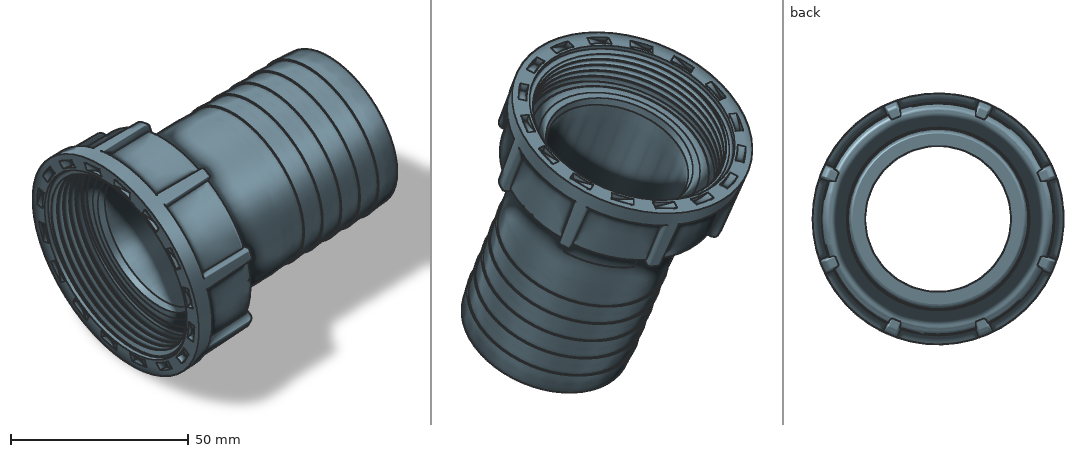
import cadquery as cq
import math

TOTAL_LENGTH = 84.5
OVERLAP = 0.25

RIM_RADIUS = 70.9 / 2
RIM_HEIGHT = 5.0
NUT_LENGTH = 23.1
CORE_BASE_RADIUS = 32.9
CORE_END_RADIUS = 32.45
SHOULDER_FILLET = 1.8
RIB_COUNT = 8
RIB_END_RADIUS = 35.0
RIB_BASE_WIDTH = 4.3
RIB_END_WIDTH = 3.4
RIB_EDGE_FILLET = 0.5
RIB_ROOT_RADIUS = 30.85

MOUTH_RADIUS = 30.25
MOUTH_DEPTH = 1.35
THREAD_MINOR_RADIUS = 56.6 / 2
THREAD_MAJOR_RADIUS = 29.75
THREAD_PITCH = 2.3
THREAD_FLANK_ANGLE = 27.5
THREAD_ROOT_FLAT = 0.3
THREAD_START_ANGLE = -95.0
NUT_HOLE_RADIUS = 51.6 / 2
BACK_WALL = 4.6

RATCHET_COUNT = 16
RATCHET_INNER_RADIUS = 31.1
RATCHET_OUTER_RADIUS = 33.5
RATCHET_LENGTH = 6.6
RATCHET_DEPTH = 2.0
RATCHET_END_SLOPE = 0.6
RATCHET_OFFSET = 0.5

FLANGE_FACE = 12.4
FLANGE_RADIUS = 56.1 / 2
TAIL_RADIUS = 50.6 / 2
TAIL_END_RADIUS = 49.5 / 2
BARB_RADIUS = 25.4
BARB_ROOT_RADIUS = 24.9
BARB_COUNT = 5
BARB_PITCH = 7.0
FIRST_BARB = 48.5
PLAIN_END = 40.5
TAIL_END_FILLET = 0.72
BORE_MOUTH_RADIUS = 43.35 / 2
BORE_RADIUS = 20.95
BORE_END_RADIUS = 20.5
BORE_MOUTH_DEPTH = 2.0

PAD_LENGTH = 8.3
PAD_WIDTH = 20.95
PAD_CENTRE = 28.4
PAD_HEIGHT = 0.1
PAD_CORNER = 0.7

SEAL_INNER_RADIUS = 47.6 / 2
SEAL_OUTER_RADIUS = 52.9 / 2
SEAL_THICKNESS = 2.0
SEAL_FILLET = 0.5


def turned(points):
    """Revolve an outline of (radius, y) points about the Y axis."""
    return cq.Workplane("XY").polyline(points).close().revolve(360, (0, 0), (0, 1))


def ring(inner, outer, start, end):
    """Plain ring, or a disc when the inner radius is zero, between two y positions."""
    return turned([(inner, start), (outer, start), (outer, end), (inner, end)])


def cone_radius(y):
    """Radius of the slightly tapered cone that bounds the rim and the ribs."""
    return RIM_RADIUS + (RIB_END_RADIUS - RIM_RADIUS) * y / NUT_LENGTH


def nut_ribs():
    """Tapered grip ribs, cut out of a conical ring that leans in from the rim."""
    collar = turned(
        [
            (RIB_ROOT_RADIUS, RIM_HEIGHT),
            (cone_radius(RIM_HEIGHT), RIM_HEIGHT),
            (RIB_END_RADIUS, NUT_LENGTH),
            (RIB_ROOT_RADIUS, NUT_LENGTH),
        ]
    )
    half_base = RIB_BASE_WIDTH / 2
    half_end = RIB_END_WIDTH / 2
    wedge = (
        cq.Workplane("YZ")
        .polyline(
            [
                (RIM_HEIGHT, -half_base),
                (NUT_LENGTH, -half_end),
                (NUT_LENGTH, half_end),
                (RIM_HEIGHT, half_base),
            ]
        )
        .close()
        .extrude(RIM_RADIUS + OVERLAP)
    )
    rib = collar.intersect(wedge)
    outer_back_edge = cq.selectors.NearestToPointSelector((RIB_END_RADIUS, NUT_LENGTH, 0))
    rib = rib.edges(outer_back_edge).fillet(SHOULDER_FILLET)
    middle = (RIM_HEIGHT + NUT_LENGTH) / 2
    for side in (-1, 1):
        outer_side_edge = cq.selectors.NearestToPointSelector((RIM_RADIUS, middle, side * half_base))
        rib = rib.edges(outer_side_edge).fillet(RIB_EDGE_FILLET)
    step = 360 / RIB_COUNT
    return [rib.rotate((0, 0, 0), (0, 1, 0), (i + 0.5) * step) for i in range(RIB_COUNT)]


def thread_groove():
    """Right-hand helical groove, running from the mouth recess to the flange face."""
    start = MOUTH_DEPTH - THREAD_PITCH / 2
    inner = THREAD_MINOR_RADIUS - OVERLAP
    half_root = THREAD_ROOT_FLAT / 2
    half_top = half_root + (THREAD_MAJOR_RADIUS - inner) * math.tan(math.radians(THREAD_FLANK_ANGLE))
    helix = cq.Wire.makeHelix(THREAD_PITCH, FLANGE_FACE - start, inner)
    groove = (
        cq.Workplane("XZ")
        .polyline(
            [
                (inner, -half_top),
                (THREAD_MAJOR_RADIUS, -half_root),
                (THREAD_MAJOR_RADIUS, half_root),
                (inner, half_top),
            ]
        )
        .close()
        .sweep(cq.Workplane(helix), isFrenet=True)
    )
    groove = groove.rotate((0, 0, 0), (0, 0, 1), THREAD_START_ANGLE)
    return groove.rotate((0, 0, 0), (1, 0, 0), -90).translate((0, start, 0))


def ratchet_recesses():
    """Ramped recesses that deepen clockwise and end in a steep wall."""
    ramp = (
        cq.Workplane("XY")
        .polyline(
            [
                (-RATCHET_OFFSET, 0),
                (RATCHET_LENGTH - RATCHET_OFFSET, 0),
                (RATCHET_LENGTH - RATCHET_OFFSET - RATCHET_END_SLOPE, RATCHET_DEPTH),
            ]
        )
        .close()
        .extrude(RIM_RADIUS)
    )
    band = ring(RATCHET_INNER_RADIUS, RATCHET_OUTER_RADIUS, 0, RATCHET_DEPTH)
    recess = ramp.intersect(band)
    step = 360 / RATCHET_COUNT
    return [recess.rotate((0, 0, 0), (0, 1, 0), i * step) for i in range(RATCHET_COUNT)]


def nut_blank():
    """Nut with its ribs and stepped bore, without ratchet recesses and thread."""
    core = turned(
        [
            (NUT_HOLE_RADIUS, RIM_HEIGHT),
            (CORE_BASE_RADIUS, RIM_HEIGHT),
            (CORE_END_RADIUS, NUT_LENGTH),
            (NUT_HOLE_RADIUS, NUT_LENGTH),
        ]
    )
    core = core.faces(">Y").edges(cq.selectors.RadiusNthSelector(-1)).fillet(SHOULDER_FILLET)
    rim = turned(
        [
            (NUT_HOLE_RADIUS, 0),
            (RIM_RADIUS, 0),
            (cone_radius(RIM_HEIGHT), RIM_HEIGHT),
            (NUT_HOLE_RADIUS, RIM_HEIGHT),
        ]
    )
    ribs = cq.Compound.makeCompound([rib.val() for rib in nut_ribs()])
    cavity = ring(0, THREAD_MINOR_RADIUS, 0, NUT_LENGTH - BACK_WALL)
    mouth = ring(0, MOUTH_RADIUS, 0, MOUTH_DEPTH)
    return core.union(rim).cut(cavity).cut(mouth).union(cq.Workplane(ribs))


def make_nut():
    recesses = cq.Workplane(cq.Compound.makeCompound([recess.val() for recess in ratchet_recesses()]))
    return nut_blank().cut(recesses).cut(thread_groove(), clean=False).solids()


def marking_pad():
    outline = (
        cq.Workplane("XY")
        .center(0, PAD_CENTRE)
        .rect(PAD_WIDTH, PAD_LENGTH)
        .extrude(-TAIL_RADIUS - OVERLAP)
        .edges("|Z")
        .fillet(PAD_CORNER)
    )
    pad_radius = TAIL_RADIUS + PAD_HEIGHT
    return outline.intersect(ring(TAIL_RADIUS - OVERLAP, pad_radius, 0, TOTAL_LENGTH))


def make_hose_tail():
    outline = [
        (BORE_MOUTH_RADIUS, FLANGE_FACE),
        (FLANGE_RADIUS, FLANGE_FACE),
        (FLANGE_RADIUS, NUT_LENGTH - BACK_WALL),
        (TAIL_RADIUS, NUT_LENGTH - BACK_WALL),
        (TAIL_RADIUS, PLAIN_END),
    ]
    for i in range(BARB_COUNT):
        barb = FIRST_BARB + i * BARB_PITCH
        outline += [(BARB_ROOT_RADIUS, barb), (BARB_RADIUS, barb)]
    outline += [
        (TAIL_END_RADIUS, TOTAL_LENGTH),
        (BORE_END_RADIUS, TOTAL_LENGTH),
        (BORE_RADIUS, FLANGE_FACE + BORE_MOUTH_DEPTH),
    ]
    tail = turned(outline)
    tail = tail.faces(">Y").edges(cq.selectors.RadiusNthSelector(-1)).fillet(TAIL_END_FILLET)
    seal_groove = ring(SEAL_INNER_RADIUS, SEAL_OUTER_RADIUS, FLANGE_FACE, FLANGE_FACE + SEAL_THICKNESS)
    return tail.cut(seal_groove).union(marking_pad()).solids()


def make_seal():
    seal = ring(SEAL_INNER_RADIUS, SEAL_OUTER_RADIUS, FLANGE_FACE, FLANGE_FACE + SEAL_THICKNESS)
    return seal.faces("<Y").edges().fillet(SEAL_FILLET).solids()


nut = make_nut()
hose_tail = make_hose_tail()
seal = make_seal()

result = cq.Compound.makeCompound([nut.val(), hose_tail.val(), seal.val()])